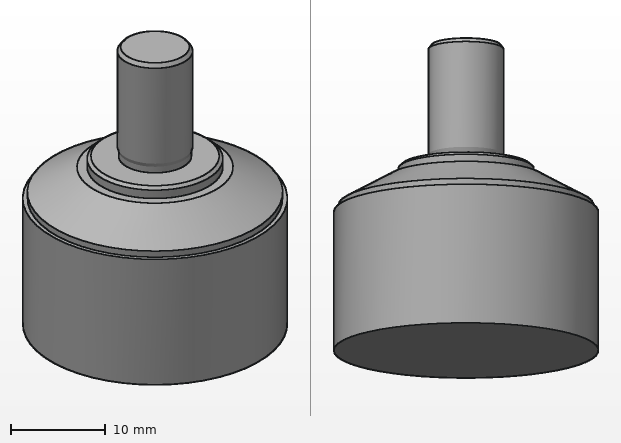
import cadquery as cq

BASE_TOP = 15.0
COVER_RIM_TOP = 15.72
COVER_TOP = 18.7
FLANGE_TOP = 20.0
NECK_TOP = 20.75
SHANK_BOTTOM = 21.15
STUD_TOP = 33.02

BASE_DIAMETER = 28.0
COVER_DIAMETER = 27.0
COVER_TOP_DIAMETER = 16.5
FLANGE_DIAMETER = 14.35
NECK_DIAMETER = 7.73
SHANK_DIAMETER = 8.0

FLANGE_CHAMFER_WIDTH = 0.4
FLANGE_CHAMFER_HEIGHT = 0.33
SHANK_CHAMFER_WIDTH = 0.35
SHANK_CHAMFER_HEIGHT = 0.45


def revolve_profile(points):
    """Revolve a closed outline of (radius, height) points about the Z axis."""
    return cq.Workplane("XZ").polyline(points).close().revolve(360, (0, 0), (0, 1))


def make_base():
    """Plain cylindrical base."""
    return cq.Workplane("XY").circle(BASE_DIAMETER / 2).extrude(BASE_TOP)


def make_cover():
    """Conical cover with a short straight rim, resting on the base."""
    rim_radius = COVER_DIAMETER / 2
    return revolve_profile([
        (0, BASE_TOP),
        (rim_radius, BASE_TOP),
        (rim_radius, COVER_RIM_TOP),
        (COVER_TOP_DIAMETER / 2, COVER_TOP),
        (0, COVER_TOP),
    ])


def make_stud():
    """Stud with a chamfered flange, an undercut neck and a chamfered shank."""
    flange_radius = FLANGE_DIAMETER / 2
    neck_radius = NECK_DIAMETER / 2
    shank_radius = SHANK_DIAMETER / 2
    return revolve_profile([
        (0, COVER_TOP),
        (flange_radius, COVER_TOP),
        (flange_radius, FLANGE_TOP - FLANGE_CHAMFER_HEIGHT),
        (flange_radius - FLANGE_CHAMFER_WIDTH, FLANGE_TOP),
        (neck_radius, FLANGE_TOP),
        (neck_radius, NECK_TOP),
        (shank_radius, SHANK_BOTTOM),
        (shank_radius, STUD_TOP - SHANK_CHAMFER_HEIGHT),
        (shank_radius - SHANK_CHAMFER_WIDTH, STUD_TOP),
        (0, STUD_TOP),
    ])


base = make_base()
cover = make_cover()
stud = make_stud()

result = cq.Compound.makeCompound([base.val(), cover.val(), stud.val()])